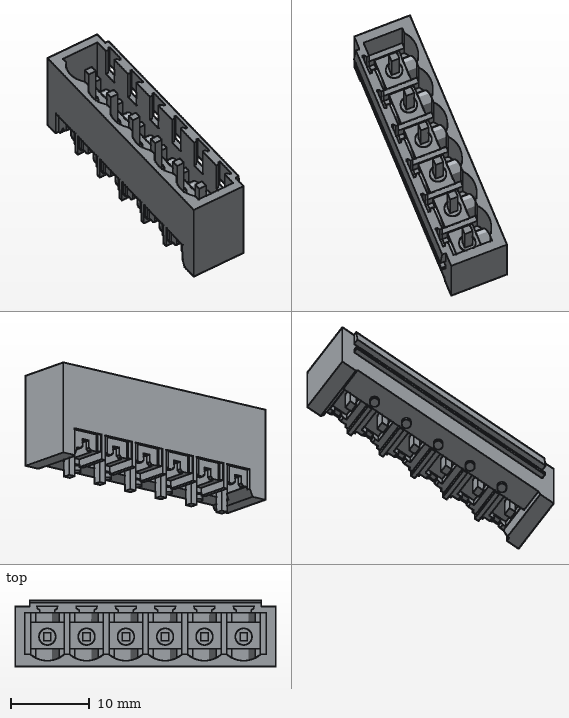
import cadquery as cq


LENGTH = 33.2
DEPTH = 7.67
HEIGHT = 12.0
PIN_COUNT = 6
END_MARGIN = 1.6
PITCH = (LENGTH - 2 * END_MARGIN) / PIN_COUNT
PIN_XS = [(i - (PIN_COUNT - 1) / 2) * PITCH for i in range(PIN_COUNT)]
DIVIDER_XS = [x + PITCH / 2 for x in PIN_XS[:-1]]

PIN_X_WIDTH = 0.93
PIN_Y_WIDTH = 1.05
PIN_Y = 3.82
PIN_BOTTOM = -1.53
PIN_TOP = 10.95

END_WALL = 1.23
CAVITY_FRONT = 1.55
CAVITY_BACK = 6.87
DIVIDER_TOP = 5.98
CELL_WIDTH = 4.28
CELL_FLOOR = 4.0
SCALLOP_DEPTH = 0.8
HUMP_RADIUS = 1.5
PLATFORM_TOP = 5.65
PLATFORM_FRONT = 2.3
PLATFORM_BACK = 5.68
COLLAR_DIAMETER = 2.12
COLLAR_DEPTH = 0.2

KEY_MOUTH_WIDTH = 1.93
KEY_BACK_WIDTH = 2.6
KEY_MOUTH_DEPTH = 0.33
KEY_BACK_DEPTH = 0.23
KEY_HEIGHT = 4.1
LIP_END_MARGIN = 1.83
LIP_HEIGHT = 3.15
LIP_TOP_REACH = 0.5
LIP_REACH = 0.75
RAIL_BOTTOM = 5.98
RAIL_HEIGHT = 0.75
RAIL_REACH = 0.63

RECESS_LEFT_MARGIN = 1.85
RECESS_RIGHT_MARGIN = 2.6
RECESS_TOP = 3.6
RECESS_DEPTH = 0.5
RIB_WIDTH = 1.6
RIB_SETBACK = 0.2
FIN_WIDTH = 0.6
FIN_BOTTOM = 0.3
FOOT_WIDTH = 2.12
FOOT_TOP_WIDTH = 2.75
SKIRT_BOTTOM = 1.33
REAR_BOTTOM = 0.6
POCKET_WIDTH = 2.6
POCKET_FRONT = 1.1
POCKET_BACK = 4.5
POCKET_TOP = 3.0
SLOT_WIDTH = 1.03
SLOT_TOP = 2.6
SLOT_FLARE = 0.3
POST_DIAMETER = 1.2
POST_Y = 5.5


def block(x_min, x_max, y_min, y_max, z_min, z_max):
    size = (x_max - x_min, y_max - y_min, z_max - z_min)
    return cq.Workplane("XY").box(*size, centered=False).translate((x_min, y_min, z_min))


def centered_block(x, width, y_min, y_max, z_min, z_max):
    return block(x - width / 2, x + width / 2, y_min, y_max, z_min, z_max)


def extrude_along_y(points, y_min, y_max):
    """Prism with an XZ outline, running from y_min to y_max."""
    outline = cq.Workplane("XZ", origin=(0, y_min, 0)).polyline(points).close()
    return outline.extrude(y_min - y_max)


def cell_space(x):
    """Open space of one cell: scalloped front, and a floor with a barrel hump and a pin platform."""
    half = CELL_WIDTH / 2
    space = (
        cq.Workplane("XY", origin=(x, 0, CELL_FLOOR))
        .moveTo(-half, CAVITY_BACK)
        .lineTo(-half, CAVITY_FRONT)
        .threePointArc((0, CAVITY_FRONT - SCALLOP_DEPTH), (half, CAVITY_FRONT))
        .lineTo(half, CAVITY_BACK)
        .close()
        .extrude(HEIGHT - CELL_FLOOR)
    )
    hump = (
        cq.Workplane("XZ", origin=(x, 0, CELL_FLOOR))
        .circle(HUMP_RADIUS)
        .extrude(-CAVITY_BACK)
    )
    platform = centered_block(x, CELL_WIDTH, PLATFORM_FRONT, PLATFORM_BACK, CELL_FLOOR, PLATFORM_TOP)
    collar = (
        cq.Workplane("XY", origin=(x, PIN_Y, PLATFORM_TOP))
        .circle(COLLAR_DIAMETER / 2)
        .extrude(-COLLAR_DEPTH)
    )
    return space.cut(hump).cut(platform).union(collar)


def key_slot(x):
    """Dovetail slot through the back wall, open at the top."""
    mouth = KEY_MOUTH_WIDTH / 2
    back = KEY_BACK_WIDTH / 2
    mouth_end = CAVITY_BACK + KEY_MOUTH_DEPTH
    back_start = DEPTH - KEY_BACK_DEPTH
    points = [
        (-mouth, CAVITY_BACK),
        (-mouth, mouth_end),
        (-back, back_start),
        (-back, DEPTH),
        (back, DEPTH),
        (back, back_start),
        (mouth, mouth_end),
        (mouth, CAVITY_BACK),
    ]
    return cq.Workplane("XY", origin=(x, 0, HEIGHT)).polyline(points).close().extrude(-KEY_HEIGHT)


def latch_lip():
    """Wedge along the top of the back face, closing the upper part of the key slots."""
    half = LENGTH / 2 - LIP_END_MARGIN
    points = [
        (DEPTH, HEIGHT),
        (DEPTH + LIP_TOP_REACH, HEIGHT),
        (DEPTH + LIP_REACH, HEIGHT - LIP_HEIGHT),
        (DEPTH, HEIGHT - LIP_HEIGHT),
    ]
    return cq.Workplane("YZ", origin=(-half, 0, 0)).polyline(points).close().extrude(2 * half)


def back_rail():
    width = LENGTH - 2 * LIP_END_MARGIN
    return centered_block(0, width, DEPTH, DEPTH + RAIL_REACH, RAIL_BOTTOM, RAIL_BOTTOM + RAIL_HEIGHT)


def front_recess():
    """Shallow recess along the lower front, interrupted by a stepped rib between cells."""
    left = -LENGTH / 2 + RECESS_LEFT_MARGIN
    right = LENGTH / 2 - RECESS_RIGHT_MARGIN
    recess = block(left, right, 0, RECESS_DEPTH, 0, RECESS_TOP)
    for x in DIVIDER_XS:
        recess = recess.cut(centered_block(x, RIB_WIDTH, RIB_SETBACK, RECESS_DEPTH, 0, RECESS_TOP))
        recess = recess.cut(centered_block(x, FIN_WIDTH, 0, RECESS_DEPTH, 0, RECESS_TOP))
    return recess


def foot_gap(top, y_min, y_max):
    """Space between the two end feet, up to the height `top`."""
    bottom_half = LENGTH / 2 - FOOT_WIDTH
    lean = (FOOT_TOP_WIDTH - FOOT_WIDTH) / SKIRT_BOTTOM
    top_half = bottom_half - lean * top
    points = [(-bottom_half, 0), (-top_half, top), (top_half, top), (bottom_half, 0)]
    return extrude_along_y(points, y_min, y_max)


def underside_space():
    """Space below the front part and the rear part, leaving the fins between cells."""
    space = foot_gap(SKIRT_BOTTOM, 0, POCKET_BACK).union(foot_gap(REAR_BOTTOM, POCKET_BACK, DEPTH))
    for x in DIVIDER_XS:
        space = space.cut(centered_block(x, FIN_WIDTH, 0, POCKET_BACK, FIN_BOTTOM, SKIRT_BOTTOM))
    return space


def pin_pocket(x):
    """Pocket under one cell and the flared slot through the thin wall in front of it."""
    pocket = centered_block(x, POCKET_WIDTH, POCKET_FRONT, POCKET_BACK, SKIRT_BOTTOM, POCKET_TOP)
    half = SLOT_WIDTH / 2
    flare_top = SKIRT_BOTTOM + SLOT_FLARE
    points = [
        (x - half - SLOT_FLARE, SKIRT_BOTTOM),
        (x - half, flare_top),
        (x - half, SLOT_TOP),
        (x + half, SLOT_TOP),
        (x + half, flare_top),
        (x + half + SLOT_FLARE, SKIRT_BOTTOM),
    ]
    return pocket.union(extrude_along_y(points, 0, POCKET_FRONT))


def standoff_post(x):
    return cq.Workplane("XY", origin=(x, POST_Y, 0)).circle(POST_DIAMETER / 2).extrude(REAR_BOTTOM)


def make_pin(x):
    y_min = PIN_Y - PIN_Y_WIDTH / 2
    y_max = PIN_Y + PIN_Y_WIDTH / 2
    return centered_block(x, PIN_X_WIDTH, y_min, y_max, PIN_BOTTOM, PIN_TOP)


def make_housing(pins):
    half = LENGTH / 2
    body = block(-half, half, 0, DEPTH, 0, HEIGHT)
    body = body.cut(
        block(-half + END_WALL, half - END_WALL, CAVITY_FRONT, CAVITY_BACK, DIVIDER_TOP, HEIGHT)
    )
    body = body.cut(front_recess()).cut(underside_space())
    for x in PIN_XS:
        body = body.cut(cell_space(x)).cut(key_slot(x)).cut(pin_pocket(x))
    body = body.union(latch_lip()).union(back_rail())
    for x in DIVIDER_XS:
        body = body.union(standoff_post(x))
    for pin in pins:
        body = body.cut(pin)
    return body


pins = [make_pin(x) for x in PIN_XS]
housing = make_housing(pins)
result = cq.Compound.makeCompound([*housing.solids().vals(), *[pin.val() for pin in pins]])